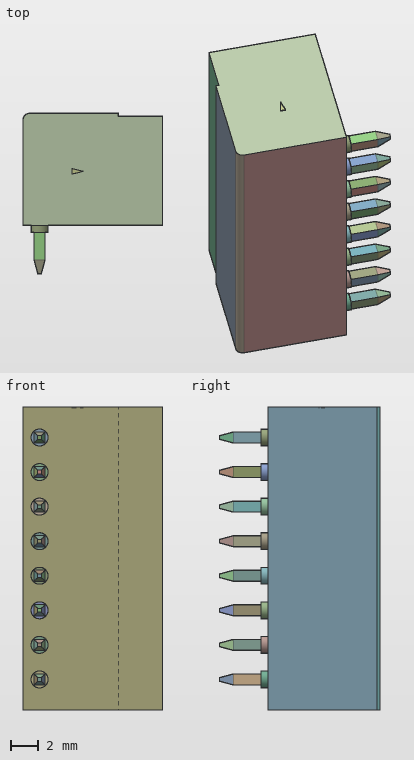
import cadquery as cq

housing_width = 10.1
housing_depth = 8.1
housing_height = 21.9
corner_radius = 0.5

step_start = 6.9
step_depth = 0.22

pin_count = 8
pin_pitch = 2.5
pin_inset = 1.2
pin_length = 3.5
pin_width = 0.8
tip_length = 1.0
tip_width = 0.26
collar_diameter = 1.23
collar_length = 0.5

mark_start = 3.55
mark_length = 0.8
mark_width = 0.4
mark_center_y = 3.9
mark_depth = 0.07


def make_housing():
    """Block with a rounded -X/+Y corner and a step on its +Y face."""
    step_y = housing_depth - step_depth
    return (
        cq.Workplane("XY")
        .moveTo(0, 0)
        .lineTo(housing_width, 0)
        .lineTo(housing_width, step_y)
        .lineTo(step_start, step_y)
        .lineTo(step_start, housing_depth)
        .lineTo(0, housing_depth)
        .close()
        .extrude(housing_height)
        .faces("<X")
        .edges(">Y")
        .fillet(corner_radius)
    )


def make_mark():
    """Triangular prism that cuts the pin-one mark."""
    half_width = mark_width / 2
    return (
        cq.Workplane("XY", origin=(mark_start, mark_center_y, housing_height))
        .moveTo(0, -half_width)
        .lineTo(mark_length, 0)
        .lineTo(0, half_width)
        .close()
        .extrude(-mark_depth)
    )


def make_pin(z):
    """Square pin with a round collar and a tapered tip, pointing toward -Y."""
    shank_length = pin_length - tip_length
    face = cq.Workplane("XZ", origin=(pin_inset, 0, z))
    collar = face.circle(collar_diameter / 2).extrude(collar_length)
    shank = face.rect(pin_width, pin_width).extrude(shank_length)
    tip = (
        face.workplane(offset=shank_length)
        .rect(pin_width, pin_width)
        .workplane(offset=tip_length)
        .rect(tip_width, tip_width)
        .loft(ruled=True)
    )
    return collar.union(shank).union(tip)


result = make_housing().cut(make_mark())

first_pin_z = (housing_height - (pin_count - 1) * pin_pitch) / 2
for index in range(pin_count):
    result = result.union(make_pin(first_pin_z + index * pin_pitch))